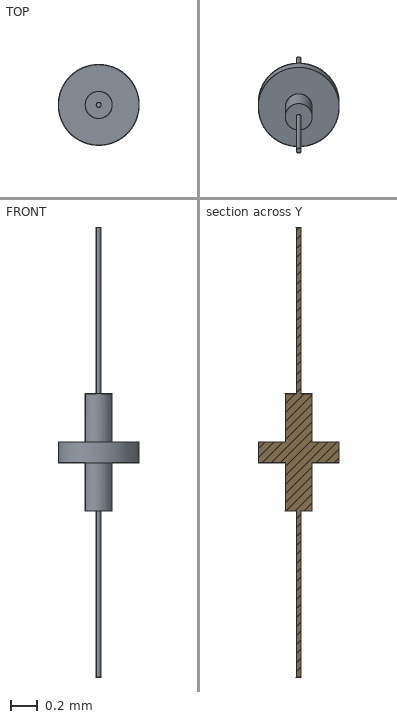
import cadquery as cq

pin_diameter = 0.037
pin_length = 3.38
sleeve_diameter = 0.203
sleeve_length = 0.882
disc_diameter = 0.61
disc_thickness = 0.16


def centred_cylinder(diameter, length):
    """Upright cylinder with its middle at the origin."""
    return cq.Workplane("XY").cylinder(length, diameter / 2)


pin = centred_cylinder(pin_diameter, pin_length)
sleeve = centred_cylinder(sleeve_diameter, sleeve_length)
disc = centred_cylinder(disc_diameter, disc_thickness)

result = disc.union(sleeve).union(pin)